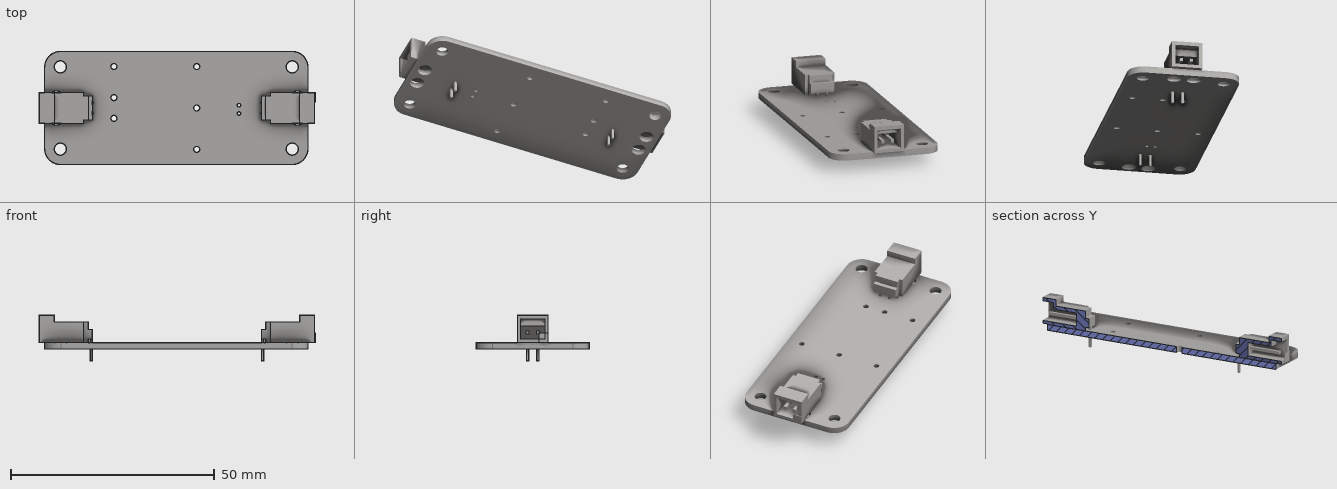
import cadquery as cq

board_length = 64.9
board_width = 27.9
board_thickness = 1.6
board_corner_radius = 4.0

mount_hole_diameter = 2.9
mount_hole_x = 28.55
mount_hole_y = 10.1
peg_hole_diameter = 3.45
peg_hole_y = 2.45
peg_hole_from_mouth = 4.2
test_hole_diameter = 1.4
test_hole_pitch = 10.2
left_test_hole_x = -15.35
left_test_hole_y = [test_hole_pitch, test_hole_pitch / 4, -test_hole_pitch / 4]
middle_test_hole_x = 5.0
middle_test_hole_y = [test_hole_pitch, 0, -test_hole_pitch]
pin_hole_diameter = 0.9
wire_hole_diameter = 0.8
wire_hole_x = 15.4
wire_hole_pitch = 2.05
wire_hole_offset_y = -0.35

housing_width = 7.6
wall = 0.8
collar_length = 3.75
collar_height = 6.7
housing_length = 10.9
housing_height = 5.1
tail_width = housing_width - 2 * wall
tail_end = 12.1
pin_block_end = 13.1
pin_block_bottom = wall
pin_block_top = 3.25
cavity_depth = 9.5
cavity_bottom = wall
cavity_rear_top = 4.1
cavity_front_top = 5.8
cavity_front_depth = collar_length - wall

pin_pitch = 2.5
pin_height = 2.45
contact_size = 0.75
contact_tip_x = 1.15
lead_size = 0.6
lead_length_below_board = 2.85
lead_x = pin_block_end - lead_size / 2

left_overhang = 1.3
right_overhang = 1.6

tab_thickness = 0.15
tab_width = 2.3
tab_height = 2.3

pin_positions_y = [-pin_pitch / 2, pin_pitch / 2]
left_mouth_x = -board_length / 2 - left_overhang
right_mouth_x = board_length / 2 + right_overhang


def block(x_start, x_end, width, z_bottom, z_top):
    """Box centred on Y = 0 between the given X and Z limits."""
    size_x = x_end - x_start
    size_z = z_top - z_bottom
    return cq.Workplane("XY").box(size_x, width, size_z, centered=(False, True, False)).translate(
        (x_start, 0, z_bottom)
    )


def drill(plate, diameter, points):
    """Cut through holes down from the top face of the board."""
    cutters = (
        cq.Workplane("XY")
        .pushPoints(points)
        .circle(diameter / 2)
        .extrude(-board_thickness)
    )
    return plate.cut(cutters)


def make_pin(y):
    """Square pin: a contact along X in the housing and a lead down through the board."""
    contact_bottom = pin_height - contact_size / 2
    contact_top = pin_height + contact_size / 2
    contact = block(contact_tip_x, pin_block_end, contact_size, contact_bottom, contact_top)
    lead_bottom = -board_thickness - lead_length_below_board
    lead = block(pin_block_end - lead_size, pin_block_end, lead_size, lead_bottom, pin_height)
    return contact.union(lead).translate((0, y, 0))


def make_connector():
    """Connector with its mouth facing -X at X = 0 and its underside at Z = 0."""
    connector = block(0, collar_length, housing_width, 0, collar_height)
    connector = connector.union(block(0, housing_length, housing_width, 0, housing_height))
    connector = connector.union(block(0, tail_end, tail_width, 0, housing_height))
    connector = connector.union(
        block(0, pin_block_end, tail_width, pin_block_bottom, pin_block_top)
    )
    connector = connector.cut(block(0, cavity_depth, tail_width, cavity_bottom, cavity_rear_top))
    connector = connector.cut(
        block(0, cavity_front_depth, tail_width, cavity_bottom, cavity_front_top)
    )
    for y in pin_positions_y:
        connector = connector.union(make_pin(y))
    return connector


def make_board():
    """Rounded plate with mounting, peg, test, wire and pin holes."""
    plate = (
        cq.Workplane("XY")
        .rect(board_length, board_width)
        .extrude(-board_thickness)
        .edges("|Z")
        .fillet(board_corner_radius)
    )
    ends = (-1, 1)
    mount_points = [(i * mount_hole_x, j * mount_hole_y) for i in ends for j in ends]
    plate = drill(plate, mount_hole_diameter, mount_points)

    peg_columns = (left_mouth_x + peg_hole_from_mouth, right_mouth_x - peg_hole_from_mouth)
    peg_points = [(x, j * peg_hole_y) for x in peg_columns for j in ends]
    plate = drill(plate, peg_hole_diameter, peg_points)

    test_points = [(left_test_hole_x, y) for y in left_test_hole_y]
    test_points += [(middle_test_hole_x, y) for y in middle_test_hole_y]
    plate = drill(plate, test_hole_diameter, test_points)

    wire_points = [(wire_hole_x, wire_hole_offset_y + j * wire_hole_pitch / 2) for j in ends]
    plate = drill(plate, wire_hole_diameter, wire_points)

    pin_columns = (left_mouth_x + lead_x, right_mouth_x - lead_x)
    pin_points = [(x, y) for x in pin_columns for y in pin_positions_y]
    return drill(plate, pin_hole_diameter, pin_points)


def make_tab():
    """Thin tab on the outer face of the right connector, flush with its +Y side."""
    return (
        cq.Workplane("XY")
        .box(tab_thickness, tab_width, tab_height, centered=False)
        .translate((right_mouth_x, housing_width / 2 - tab_width, 0))
    )


board = make_board()
left_connector = make_connector().translate((left_mouth_x, 0, 0))
right_connector = (
    make_connector()
    .rotate((0, 0, 0), (0, 0, 1), 180)
    .translate((right_mouth_x, 0, 0))
    .union(make_tab())
)

result = cq.Compound.makeCompound([board.val(), left_connector.val(), right_connector.val()])